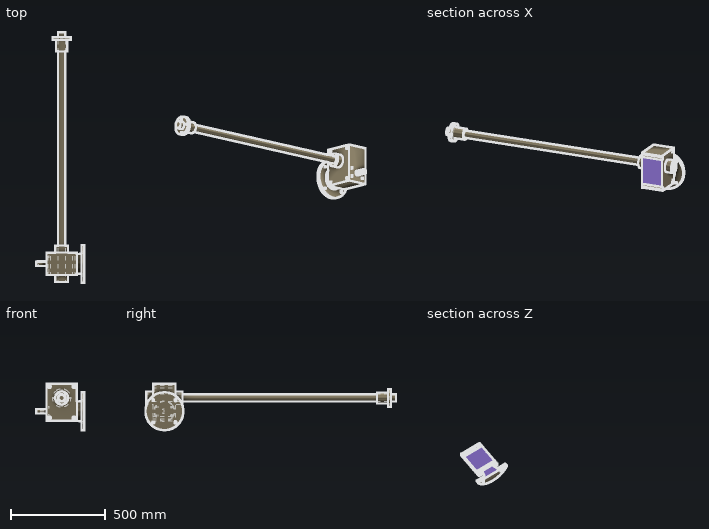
import cadquery as cq


overall_length = 1320.0

housing_length = 161.0
housing_width = 119.0
housing_top = 75.0
housing_height = 195.0
housing_bottom = housing_top - housing_height
mount_hole_diameter = 13.0
mount_hole_spacing_x = 130.0
mount_hole_spacing_z = 165.0
mount_hole_center_z = (housing_top + housing_bottom) / 2
hub_diameter = 69.0
hub_span = 191.0

worm_z = -70.0
tapped_hole_diameter = 8.3
tapped_hole_depth = 13.0
tapped_hole_spacing_y = 75.0
tapped_hole_spacing_z = 44.0

flange_diameter = 200.0
flange_thickness = 16.0
flange_neck_start_diameter = 103.0
flange_neck_end_diameter = 108.0
flange_neck_length = 24.0
flange_bolt_hole_diameter = 9.0
flange_bolt_circle_diameter = 165.0
flange_bolt_count = 4
flange_bolt_start_angle = 45

shaft_diameter = 25.0
shaft_length = 54.0
shaft_center_hole_diameter = 7.0
shaft_center_hole_depth = 13.0
key_length = 40.0
key_width = 8.0
key_height = 7.0
key_protrusion = 3.0
key_end_gap = 8.0

screw_diameter = 40.0
screw_tip_diameter = 33.0
screw_end_y = overall_length - flange_diameter / 2

nut_diameter = 60.0
nut_length = 60.0
nut_flange_diameter = 96.0
nut_flange_thickness = 16.0
nut_fillet_radius = 3.0
nut_bolt_hole_diameter = 9.0
nut_bolt_circle_diameter = 78.0
nut_bolt_count = 4
screw_protrusion = 26.0
nut_flange_end_y = screw_end_y - screw_protrusion

housing_end_x = housing_length / 2
flange_face_x = housing_end_x + flange_neck_length
shaft_tip_x = -housing_end_x - shaft_length


def rod_y(diameter, start_y, end_y):
    """Cylinder on the screw axis between two Y positions."""
    return cq.Workplane("XZ", origin=(0, start_y, 0)).circle(diameter / 2).extrude(start_y - end_y)


def rod_x(diameter, start_x, end_x):
    """Cylinder on the worm axis between two X positions."""
    return cq.Workplane("YZ", origin=(start_x, 0, worm_z)).circle(diameter / 2).extrude(end_x - start_x)


def make_housing():
    """Gearbox block with screw hubs on both sides and the motor flange on its +X end."""
    body = cq.Workplane("XY", origin=(0, 0, housing_bottom)).box(
        housing_length, housing_width, housing_height, centered=(True, True, False)
    )
    mount_holes = (
        cq.Workplane("XZ", origin=(0, 0, mount_hole_center_z))
        .rarray(mount_hole_spacing_x, mount_hole_spacing_z, 2, 2)
        .circle(mount_hole_diameter / 2)
        .extrude(housing_width, both=True)
    )
    tapped_holes = (
        cq.Workplane("YZ", origin=(-housing_end_x, 0, worm_z))
        .rarray(tapped_hole_spacing_y, tapped_hole_spacing_z, 2, 2)
        .circle(tapped_hole_diameter / 2)
        .extrude(tapped_hole_depth)
    )
    hubs = rod_y(hub_diameter, -hub_span / 2, hub_span / 2)
    screw_bore = rod_y(screw_diameter, -hub_span / 2, hub_span / 2)
    neck = (
        cq.Workplane("YZ", origin=(housing_end_x, 0, worm_z))
        .circle(flange_neck_start_diameter / 2)
        .workplane(offset=flange_neck_length)
        .circle(flange_neck_end_diameter / 2)
        .loft(ruled=True)
    )
    flange = rod_x(flange_diameter, flange_face_x, flange_face_x + flange_thickness)
    bolt_holes = (
        cq.Workplane("YZ", origin=(flange_face_x, 0, worm_z))
        .polarArray(flange_bolt_circle_diameter / 2, flange_bolt_start_angle, 360, flange_bolt_count)
        .circle(flange_bolt_hole_diameter / 2)
        .extrude(flange_thickness)
    )
    body = body.union(hubs).union(neck).union(flange)
    return body.cut(screw_bore).cut(mount_holes).cut(tapped_holes).cut(bolt_holes)


def make_key():
    """Parallel key on the +Y side of the input shaft."""
    key_start_x = shaft_tip_x + key_end_gap
    key_start_y = shaft_diameter / 2 + key_protrusion - key_height
    return cq.Workplane("XY", origin=(key_start_x, key_start_y, worm_z)).box(
        key_length, key_height, key_width, centered=(False, False, True)
    )


def make_input_shaft(key):
    """Shaft stub with a centre hole in its end and a keyway that fits the key."""
    shaft = rod_x(shaft_diameter, shaft_tip_x, -housing_end_x)
    center_hole = rod_x(shaft_center_hole_diameter, shaft_tip_x, shaft_tip_x + shaft_center_hole_depth)
    return shaft.cut(center_hole).cut(key)


def make_screw():
    """Long screw, chamfered at the end that sits flush in the front hub."""
    tip_chamfer = (screw_diameter - screw_tip_diameter) / 2
    return rod_y(screw_diameter, -hub_span / 2, screw_end_y).faces("<Y").chamfer(tip_chamfer)


def make_nut():
    """Flanged nut turned as one profile, with a fillet where the barrel meets the flange."""
    bore_radius = screw_diameter / 2
    barrel_radius = nut_diameter / 2
    flange_radius = nut_flange_diameter / 2
    flange_start_y = nut_flange_end_y - nut_flange_thickness
    barrel_start_y = flange_start_y - nut_length
    body = (
        cq.Workplane("XY")
        .moveTo(bore_radius, barrel_start_y)
        .lineTo(barrel_radius, barrel_start_y)
        .lineTo(barrel_radius, flange_start_y - nut_fillet_radius)
        .radiusArc((barrel_radius + nut_fillet_radius, flange_start_y), nut_fillet_radius)
        .lineTo(flange_radius, flange_start_y)
        .lineTo(flange_radius, nut_flange_end_y)
        .lineTo(bore_radius, nut_flange_end_y)
        .close()
        .revolve(360, (0, 0, 0), (0, 1, 0))
    )
    bolt_holes = (
        cq.Workplane("XZ", origin=(0, nut_flange_end_y, 0))
        .polarArray(nut_bolt_circle_diameter / 2, 0, 360, nut_bolt_count)
        .circle(nut_bolt_hole_diameter / 2)
        .extrude(nut_flange_thickness)
    )
    return body.cut(bolt_holes)


housing = make_housing()
key = make_key()
input_shaft = make_input_shaft(key)
screw = make_screw()
nut = make_nut()

result = cq.Compound.makeCompound([housing.val(), input_shaft.val(), key.val(), screw.val(), nut.val()])